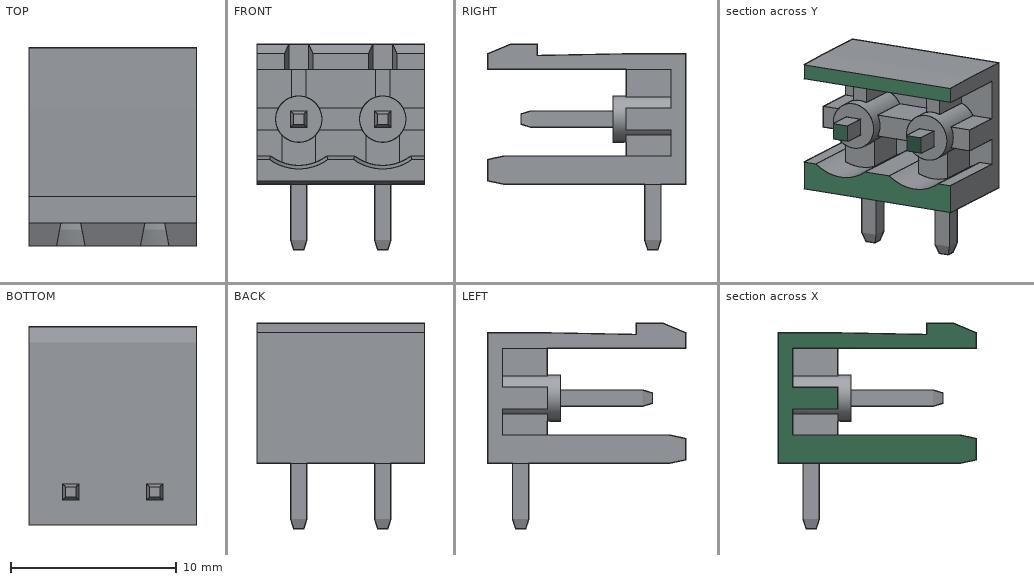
import cadquery as cq
import math


pole_count = 2
pitch = 5.08
pole_xs = [(i - (pole_count - 1) / 2) * pitch for i in range(pole_count)]

width = pole_count * pitch
depth = 12.0
wall = 0.9
deck_top = 1.72
roof_bottom = 6.96
roof_top = 7.9
roof_sag = 0.1

latch_top = 8.49
latch_rear = 8.99
latch_slope_start = 10.6
notch_rear_width = 1.2
notch_front_width = 1.73

nose_length = 0.98
nose_drop = 0.21

axis_z = 3.95
support_depth = 3.62
boss_diameter = 2.8
boss_depth = 4.42
groove_radius = 2.8
bar_height = 1.32
upper_rib_width = 0.9
lower_rib_width = 2.02

pin_size = 1.0
tip_size = 0.62
tip_length = 0.59
pin_reach = 9.98
tail_depth = 2.0
overall_height = 12.45
tail_end_z = latch_top - overall_height


def make_shell():
    """C-shaped side profile of wall, roof, latch and deck, extruded across the width."""
    outline = [
        (0, 0),
        (0, roof_top),
        (-support_depth, roof_top),
        (-latch_rear, roof_top - roof_sag),
        (-latch_rear, latch_top),
        (-latch_slope_start, latch_top),
        (-depth, roof_top),
        (-depth, roof_bottom),
        (-wall, roof_bottom),
        (-wall, deck_top),
        (nose_length - depth, deck_top),
        (-depth, deck_top - nose_drop),
        (-depth, nose_drop),
        (nose_length - depth, 0),
    ]
    return cq.Workplane("YZ").polyline(outline).close().extrude(width / 2, both=True)


def make_groove(x):
    """Round trough in the deck around the pin axis, flaring through the nose bevel."""
    straight_length = depth - wall - nose_length
    forward = cq.Vector(0, -1, 0)
    trough = cq.Solid.makeCylinder(groove_radius, straight_length, cq.Vector(x, -wall, axis_z), forward)
    flare_start = cq.Vector(x, nose_length - depth, axis_z)
    flare = cq.Solid.makeCone(groove_radius, groove_radius + nose_drop, nose_length, flare_start, forward)
    return cq.Workplane(trough).union(cq.Workplane(flare))


def make_notch(x):
    """Slot through the sloped part of the latch, widening toward the front."""
    outline = [
        (x - notch_rear_width / 2, -latch_slope_start),
        (x + notch_rear_width / 2, -latch_slope_start),
        (x + notch_front_width / 2, -depth),
        (x - notch_front_width / 2, -depth),
    ]
    return (
        cq.Workplane("XY", origin=(0, 0, roof_bottom))
        .polyline(outline)
        .close()
        .extrude(latch_top - roof_bottom)
    )


def make_support_block(x, block_width, bottom, top):
    """Block from the rear face forward to the support depth."""
    return (
        cq.Workplane("XY", origin=(x, -support_depth / 2, bottom))
        .rect(block_width, support_depth)
        .extrude(top - bottom)
    )


def make_boss(x):
    """Round collar around the pin, from the rear face past the supports."""
    return cq.Workplane("XZ", origin=(x, 0, axis_z)).circle(boss_diameter / 2).extrude(boss_depth)


def make_tip(origin, direction):
    """Tapered square end of a pin."""
    taper = math.degrees(math.atan((pin_size - tip_size) / 2 / tip_length))
    plane = cq.Plane(origin=origin, xDir=(1, 0, 0), normal=direction)
    return cq.Workplane(plane).rect(pin_size, pin_size).extrude(tip_length, taper=taper)


def make_pin(x):
    """L-shaped square pin with tapered contact and tail ends."""
    half = pin_size / 2
    contact_shoulder = tip_length - pin_reach
    tail_shoulder = tail_end_z + tip_length
    outline = [
        (half - tail_depth, tail_shoulder),
        (half - tail_depth, axis_z + half),
        (contact_shoulder, axis_z + half),
        (contact_shoulder, axis_z - half),
        (-half - tail_depth, axis_z - half),
        (-half - tail_depth, tail_shoulder),
    ]
    bent_bar = cq.Workplane("YZ", origin=(x, 0, 0)).polyline(outline).close().extrude(half, both=True)
    contact_tip = make_tip((x, contact_shoulder, axis_z), (0, -1, 0))
    tail_tip = make_tip((x, -tail_depth, tail_shoulder), (0, 0, -1))
    return bent_bar.union(contact_tip).union(tail_tip)


def make_housing(pins):
    body = make_shell()
    for x in pole_xs:
        body = body.cut(make_groove(x)).cut(make_notch(x))

    body = body.union(make_support_block(0, width, axis_z - bar_height / 2, axis_z + bar_height / 2))
    for x in pole_xs:
        body = body.union(make_support_block(x, upper_rib_width, axis_z, roof_bottom))
        body = body.union(make_support_block(x, lower_rib_width, 0, axis_z))
        body = body.union(make_boss(x))

    for pin in pins:
        body = body.cut(pin)
    return body


pins = [make_pin(x) for x in pole_xs]
housing = make_housing(pins)

result = cq.Compound.makeCompound([housing.solids().val(), *[pin.solids().val() for pin in pins]])